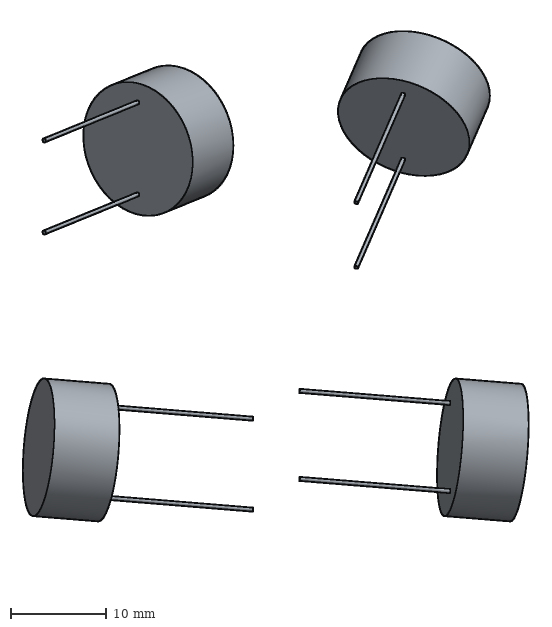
import cadquery as cq

housing_diameter = 14.5
housing_depth = 7.0

lead_diameter = 0.45
lead_length = 16.05
lead_pitch = 10.16

lead_pair_x = -0.05
lead_pair_z = 0.05


def make_housing():
    """Plain cylinder running from the lead face toward +Y."""
    return cq.Workplane("XZ").circle(housing_diameter / 2).extrude(-housing_depth)


def make_lead(lead_z):
    """Straight wire that starts on the lead face and runs toward -Y."""
    return cq.Workplane("XZ").center(lead_pair_x, lead_z).circle(lead_diameter / 2).extrude(lead_length)


housing = make_housing()

leads = []
for side in (1, -1):
    leads.append(make_lead(lead_pair_z + side * lead_pitch / 2))

result = cq.Compound.makeCompound([housing.val(), *[lead.val() for lead in leads]])